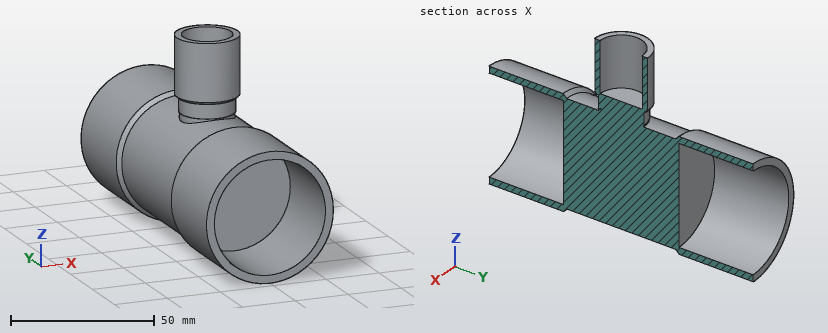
import cadquery as cq

run_length = 114.0
body_diameter = 45.0
socket_diameter = 48.0
socket_bore_diameter = 42.0
socket_length = 32.0
socket_chamfer = (socket_diameter - body_diameter) / 2

branch_top = 51.0
branch_socket_diameter = 23.0
branch_bore_diameter = 18.0
branch_socket_length = 21.5
branch_chamfer = 1.0
neck_diameter = 20.0
neck_bottom = 23.0
root_diameter = 19.5


def chamfered_socket(face_plane, diameter, length, chamfer):
    """Cylinder starting at face_plane, followed by a cone that tapers inward at 45 degrees."""
    socket = cq.Workplane(face_plane).circle(diameter / 2).extrude(length + chamfer)
    return socket.faces(cq.selectors.DirectionMinMaxSelector(face_plane.zDir, True)).chamfer(chamfer)


def socket_bore(face_plane, diameter, depth):
    """Blind, flat-bottomed bore entering at face_plane."""
    return cq.Workplane(face_plane).circle(diameter / 2).extrude(depth)


front_end = cq.Plane(origin=(0, -run_length / 2, 0), xDir=(1, 0, 0), normal=(0, 1, 0))
back_end = cq.Plane(origin=(0, run_length / 2, 0), xDir=(1, 0, 0), normal=(0, -1, 0))
branch_end = cq.Plane(origin=(0, 0, branch_top), xDir=(1, 0, 0), normal=(0, 0, -1))

result = cq.Workplane(front_end).circle(body_diameter / 2).extrude(run_length)
root = cq.Workplane("XY").circle(root_diameter / 2).extrude(neck_bottom)
neck = (
    cq.Workplane("XY", origin=(0, 0, neck_bottom))
    .circle(neck_diameter / 2)
    .extrude(branch_top - neck_bottom)
)
result = result.union(root).union(neck)

for end in (front_end, back_end):
    result = result.union(chamfered_socket(end, socket_diameter, socket_length, socket_chamfer))
result = result.union(
    chamfered_socket(branch_end, branch_socket_diameter, branch_socket_length, branch_chamfer)
)

for end in (front_end, back_end):
    result = result.cut(socket_bore(end, socket_bore_diameter, socket_length))
result = result.cut(socket_bore(branch_end, branch_bore_diameter, branch_socket_length))